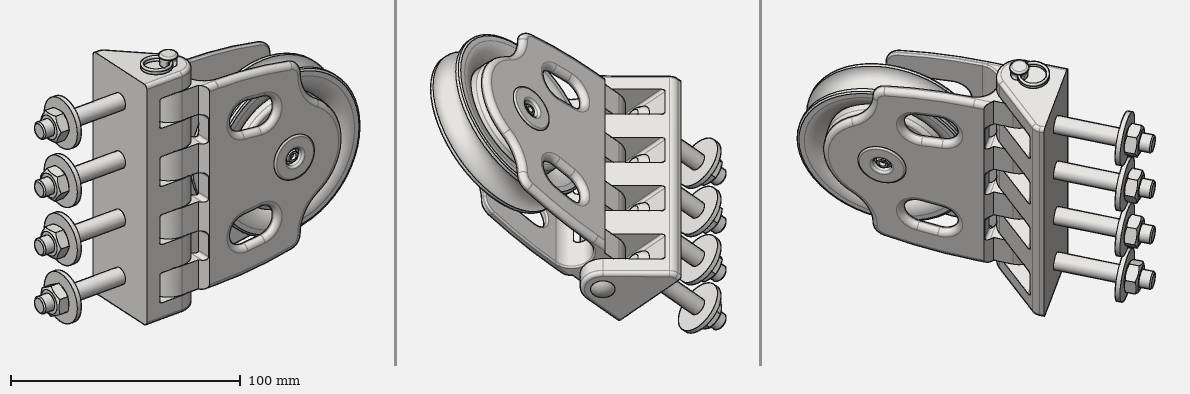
import cadquery as cq
import math


hinge_y = -58.2
hinge_radius = 9.92
pin_diameter = 7.5
hinge_pitch = 29.0
hinge_count = 4
slot_width = 15.0
knuckle_width = 14.5
hinge_heights = [(i - (hinge_count - 1) / 2) * hinge_pitch for i in range(hinge_count)]

tolerance = 0.02

base_left = -29.0
base_right = hinge_radius
base_bottom = -77.4
base_half_height = 60.0
base_toe_radius = 5.0
base_edge_fillet = 2.0
slot_floor = -70.3
slot_corner_radius = 1.3

bolt_x = (base_left + base_right) / 2
bolt_diameter = 8.0
bolt_end = -121.5
bolt_tip_chamfer = 0.6
bolt_head_diameter = 14.0
bolt_head_crown_diameter = 7.0
bolt_head_shoulder_diameter = 11.5
bolt_head_height = 3.4
washer_diameter = 24.0
washer_top = -107.4
washer_thickness = 2.3
nut_across_flats = 13.0
nut_length = 6.3
nut_face_diameter = 11.3
nut_chamfer_length = 1.0
nut_turns = [30, 3, -8, 3]

pin_top = 65.3
pin_collar_diameter = 8.4
pin_collar_thickness = 1.3
pin_collar_fillet = 1.0
pin_head_diameter = 10.6
pin_head_height = 1.8
ring_hole_diameter = 3.0
ring_hole_rise = 1.8
ring_hole_fillet = 0.8
ring_diameter = 14.2
ring_wire = 1.5
ring_turn_spacing = 1.3
ring_tilt = 2.0
ring_rise = 1.6

cheek_width = 27.1
cheek_gap = 19.2
cheek_half_height = hinge_heights[-1] + knuckle_width / 2
cheek_nose_radius = 27.1
cheek_shoulder_y = 4.8
cheek_shoulder_z = 40.0
cheek_shoulder_radius = 6.8
cheek_crown_y = -41.3
cheek_edge_fillet = 2.7
cheek_inner_fillet = 0.8
cheek_bevel = 3.4
cheek_rear = -49.3
finger_gap_floor = -46.3
finger_gap_radius = 2.0
rope_passage_y = -38.9
window_y = -21.5
window_z = 27.7
window_width = 15.2
window_length = 24.5
window_tilt = 6.0

axle_diameter = 14.2
axle_length = 29.0
axle_flange_diameter = 21.8
axle_flange_fillet = 0.8
axle_recess_diameter = 8.4
axle_recess_depth = 3.2
axle_recess_fillet = 1.1
axle_button_diameter = 6.3
axle_button_face_diameter = 5.0
axle_button_height = 2.0
axle_center_diameter = 3.0

sheave_radius = 39.8
sheave_width = 18.0
sheave_edge_bevel_width = 0.5
sheave_edge_bevel_height = 1.0
rope_groove_radius = 7.0
recess_outer_radius = 36.5
recess_inner_radius = 27.4
recess_bend_radius = 9.7
sheave_hub_width = 18.7
sheave_hub_face_radius = 25.4


def cylinder_along_z(x, y, bottom, top, diameter):
    return cq.Workplane("XY", origin=(x, y, bottom)).circle(diameter / 2).extrude(top - bottom)


def base_block():
    """Triangular block, rounded around the hinge pin and filleted at both ends."""
    diagonal = math.sqrt(0.5)
    slope_start = (-hinge_radius * diagonal, hinge_y + hinge_radius * diagonal)
    toe_y = slope_start[1] + base_left - slope_start[0]
    quarter = math.radians(22.5)
    arc_middle = (hinge_radius * math.sin(quarter), hinge_y + hinge_radius * math.cos(quarter))
    block = (
        cq.Workplane("XY", origin=(0, 0, -base_half_height))
        .moveTo(base_left, base_bottom)
        .lineTo(base_right, base_bottom)
        .lineTo(base_right, hinge_y)
        .threePointArc(arc_middle, slope_start)
        .lineTo(base_left, toe_y)
        .close()
        .extrude(2 * base_half_height)
    )
    toe = cq.selectors.NearestToPointSelector((base_left, toe_y, 0))
    block = block.edges(toe).fillet(base_toe_radius)
    end_edges = block.faces("<Z or >Z").edges()
    return end_edges.filter(lambda edge: edge.Center().y > base_bottom + tolerance).fillet(base_edge_fillet)


def knuckle_slot(z):
    """Cutter for one knuckle slot, open towards both sides and the hinge."""
    depth = -slot_floor
    width = base_right - base_left
    return (
        cq.Workplane("XY")
        .box(2 * width, depth, slot_width)
        .edges("|X and <Y")
        .fillet(slot_corner_radius)
        .translate((0, slot_floor + depth / 2, z))
    )


def bolt_with_nut(z, nut_turn):
    """Round-headed bolt in the slot floor with a washer and a chamfered hexagon nut."""
    crown_y = slot_floor + bolt_head_height
    bolt = (
        cq.Workplane("XY")
        .moveTo(0, crown_y)
        .lineTo(bolt_head_crown_diameter / 2, crown_y)
        .threePointArc(
            (bolt_head_shoulder_diameter / 2, slot_floor + bolt_head_height / 2),
            (bolt_head_diameter / 2, slot_floor),
        )
        .lineTo(bolt_diameter / 2, slot_floor)
        .lineTo(bolt_diameter / 2, bolt_end + bolt_tip_chamfer)
        .lineTo(bolt_diameter / 2 - bolt_tip_chamfer, bolt_end)
        .lineTo(0, bolt_end)
        .close()
        .revolve(360, (0, 0), (0, 1))
    )
    washer_bottom = washer_top - washer_thickness
    washer = cq.Workplane("XZ", origin=(0, washer_top, 0)).circle(washer_diameter / 2)
    washer = washer.extrude(washer_thickness)

    nut_corner_diameter = nut_across_flats / math.cos(math.radians(30))
    nut_bottom = washer_bottom - nut_length
    nut = (
        cq.Workplane("XZ", origin=(0, washer_bottom, 0))
        .polygon(6, nut_corner_diameter)
        .extrude(nut_length)
        .rotate((0, 0, 0), (0, 1, 0), -nut_turn)
    )
    nut_envelope = (
        cq.Workplane("XY")
        .moveTo(0, washer_bottom)
        .lineTo(nut_face_diameter / 2, washer_bottom)
        .lineTo(nut_corner_diameter / 2, washer_bottom - nut_chamfer_length)
        .lineTo(nut_corner_diameter / 2, nut_bottom + nut_chamfer_length)
        .lineTo(nut_face_diameter / 2, nut_bottom)
        .lineTo(0, nut_bottom)
        .close()
        .revolve(360, (0, 0), (0, 1))
    )
    nut = nut.intersect(nut_envelope)
    return bolt.union(washer).union(nut).translate((bolt_x, 0, z))


def hinge_pin():
    """Pin with a domed head below, a collar above and a cross hole for the split ring."""
    collar_bottom = pin_top - pin_collar_thickness
    shank = cylinder_along_z(0, hinge_y, -base_half_height, collar_bottom, pin_diameter)
    collar = cylinder_along_z(0, hinge_y, collar_bottom, pin_top, pin_collar_diameter)
    collar = collar.faces(">Z").edges().fillet(pin_collar_fillet)
    rim_radius = pin_head_diameter / 2
    dome_radius = (rim_radius**2 + pin_head_height**2) / (2 * pin_head_height)
    half_angle = math.asin(rim_radius / dome_radius) / 2
    dome_middle = (
        dome_radius * math.sin(half_angle),
        dome_radius * (1 - math.cos(half_angle)) - pin_head_height,
    )
    head = (
        cq.Workplane("XZ")
        .lineTo(0, -pin_head_height)
        .threePointArc(dome_middle, (rim_radius, 0))
        .close()
        .revolve(360, (0, 0), (0, 1))
        .translate((0, hinge_y, -base_half_height))
    )
    ring_hole = (
        cq.Workplane("YZ", origin=(-pin_diameter, hinge_y, base_half_height + ring_hole_rise))
        .circle(ring_hole_diameter / 2)
        .extrude(2 * pin_diameter)
    )
    shank = shank.union(collar).cut(ring_hole)
    mouth_edges = cq.selectors.BoxSelector(
        (-pin_diameter, hinge_y - ring_hole_diameter, base_half_height),
        (pin_diameter, hinge_y + ring_hole_diameter, collar_bottom - tolerance),
        boundingbox=True,
    )
    shank = shank.edges(mouth_edges).fillet(ring_hole_fillet)
    return shank.union(head)


def split_ring():
    """Two stacked turns of wire that pass through the cross hole of the pin."""
    turn_radius = (ring_diameter - ring_wire) / 2
    ring_y = hinge_y - turn_radius
    ring_z = base_half_height + ring_rise
    turns = cq.Workplane("XY")
    for side in (-1, 1):
        turn = cq.Workplane("XZ").center(turn_radius, side * ring_turn_spacing / 2)
        turn = turn.circle(ring_wire / 2).revolve(360, (-turn_radius, 0), (-turn_radius, 1))
        turns = turns.union(turn)
    return turns.rotate((0, 0, 0), (0, 1, 0), -ring_tilt).translate((0, ring_y, ring_z))


def make_base():
    base = base_block()
    for z in hinge_heights:
        base = base.cut(knuckle_slot(z))
    for z, nut_turn in zip(hinge_heights, nut_turns):
        base = base.union(bolt_with_nut(z, nut_turn))
    return base.union(hinge_pin()).union(split_ring())


def arc_point(center, radius, degrees):
    angle = math.radians(degrees)
    return (center[0] + radius * math.cos(angle), center[1] + radius * math.sin(angle))


def direction(start, end):
    return math.degrees(math.atan2(end[1] - start[1], end[0] - start[0]))


def cheek_outline():
    """Outline in the YZ plane: round nose, hollow neck, shoulder and a slightly curved crown edge."""
    nose = (0, 0)
    neck_radius = (cheek_shoulder_y**2 + cheek_shoulder_z**2 - cheek_nose_radius**2) / (
        2 * (cheek_nose_radius - cheek_shoulder_y)
    )
    neck = (cheek_shoulder_y + neck_radius, cheek_shoulder_z)
    shoulder = (cheek_shoulder_y - cheek_shoulder_radius, cheek_shoulder_z)
    run = shoulder[0] - cheek_crown_y
    rise = cheek_half_height - shoulder[1]
    crown_radius = (run**2 + rise**2 - cheek_shoulder_radius**2) / (2 * (rise - cheek_shoulder_radius))
    crown = (cheek_crown_y, cheek_half_height - crown_radius)

    nose_angle = direction(nose, neck)
    crown_angle = direction(crown, shoulder)
    nose_end = arc_point(nose, cheek_nose_radius, nose_angle)
    neck_middle = arc_point(neck, neck_radius, 180 + nose_angle / 2)
    shoulder_start = (cheek_shoulder_y, cheek_shoulder_z)
    shoulder_middle = arc_point(shoulder, cheek_shoulder_radius, crown_angle / 2)
    shoulder_end = arc_point(shoulder, cheek_shoulder_radius, crown_angle)
    crown_middle = arc_point(crown, crown_radius, (crown_angle + 90) / 2)

    def below(point):
        return (point[0], -point[1])

    return (
        cq.Workplane("YZ", origin=(-cheek_width / 2, 0, 0))
        .moveTo(cheek_rear, cheek_half_height)
        .lineTo(cheek_crown_y, cheek_half_height)
        .threePointArc(crown_middle, shoulder_end)
        .threePointArc(shoulder_middle, shoulder_start)
        .threePointArc(neck_middle, nose_end)
        .threePointArc((cheek_nose_radius, 0), below(nose_end))
        .threePointArc(below(neck_middle), below(shoulder_start))
        .threePointArc(below(shoulder_middle), below(shoulder_end))
        .threePointArc(below(crown_middle), (cheek_crown_y, -cheek_half_height))
        .lineTo(cheek_rear, -cheek_half_height)
        .close()
    )


def window(side):
    """Cutter for one slanted window through both cheeks, above or below the axle."""
    return (
        cq.Workplane("YZ", origin=(-cheek_width / 2, 0, 0))
        .center(window_y, side * window_z)
        .slot2D(window_length, window_width, -side * window_tilt)
        .extrude(cheek_width)
    )


def cheek_block():
    """Solid block over both cheeks with windows, rounded edges and a bevelled rear."""
    block = cheek_outline().extrude(cheek_width)
    for side in (-1, 1):
        block = block.cut(window(side))
    side_edges = block.faces("<X or >X").edges()
    block = side_edges.filter(lambda edge: edge.Center().y > cheek_rear + tolerance).fillet(cheek_edge_fillet)
    half_width = cheek_width / 2
    plan = (
        cq.Workplane("XY", origin=(0, 0, -cheek_half_height))
        .moveTo(half_width, cheek_nose_radius)
        .lineTo(half_width, cheek_rear + cheek_bevel)
        .lineTo(half_width - cheek_bevel, cheek_rear)
        .lineTo(cheek_bevel - half_width, cheek_rear)
        .lineTo(-half_width, cheek_rear + cheek_bevel)
        .lineTo(-half_width, cheek_nose_radius)
        .close()
        .extrude(2 * cheek_half_height)
    )
    return block.intersect(plan)


def knuckle(z):
    """Finger with a rounded end around the hinge pin."""
    return (
        cq.Workplane("XY", origin=(0, 0, z - knuckle_width / 2))
        .moveTo(-hinge_radius, finger_gap_floor)
        .lineTo(-hinge_radius, hinge_y)
        .threePointArc((0, hinge_y - hinge_radius), (hinge_radius, hinge_y))
        .lineTo(hinge_radius, finger_gap_floor)
        .close()
        .extrude(knuckle_width)
    )


def finger_gap(z):
    """Cutter for the clearance between two neighbouring knuckles."""
    depth = finger_gap_floor - hinge_y
    return (
        cq.Workplane("XY")
        .box(2 * cheek_width, depth, hinge_pitch - knuckle_width)
        .edges("|X and >Y")
        .fillet(finger_gap_radius)
        .translate((0, finger_gap_floor - depth / 2, z))
    )


def sheave_space():
    """Cutter between the cheeks, ending in the half-round rope passage."""
    length = cheek_nose_radius - rope_passage_y
    channel = cq.Workplane("XY").box(cheek_gap, length, 2 * cheek_half_height)
    channel = channel.translate((0, rope_passage_y + length / 2, 0))
    passage = cylinder_along_z(0, rope_passage_y, -cheek_half_height, cheek_half_height, cheek_gap)
    return channel.union(passage)


def axle():
    """Axle with a riveted flange outside each cheek and a recessed button in each end."""
    end = axle_length / 2
    flange_thickness = (axle_length - cheek_width) / 2
    body = cq.Workplane("YZ", origin=(-end, 0, 0)).circle(axle_diameter / 2).extrude(axle_length)
    for sign in (-1, 1):
        flange = (
            cq.Workplane("YZ", origin=(sign * (end - flange_thickness), 0, 0))
            .circle(axle_flange_diameter / 2)
            .extrude(sign * flange_thickness)
        )
        flange = flange.faces(">X" if sign > 0 else "<X").edges().fillet(axle_flange_fillet)
        body = body.union(flange)
    for sign in (-1, 1):
        floor = sign * (end - axle_recess_depth)
        recess = (
            cq.Workplane("YZ", origin=(floor, 0, 0))
            .circle(axle_recess_diameter / 2)
            .extrude(sign * axle_recess_depth)
        )
        button = (
            cq.Workplane("YZ", origin=(floor, 0, 0))
            .circle(axle_button_diameter / 2)
            .workplane(offset=sign * axle_button_height)
            .circle(axle_button_face_diameter / 2)
            .loft()
        )
        center = (
            cq.Workplane("YZ", origin=(floor, 0, 0))
            .circle(axle_center_diameter / 2)
            .extrude(sign * axle_button_height)
        )
        body = body.cut(recess)
        mouth = cq.selectors.BoxSelector(
            (sign * end - tolerance, -axle_recess_diameter, -axle_recess_diameter),
            (sign * end + tolerance, axle_recess_diameter, axle_recess_diameter),
            boundingbox=True,
        )
        body = body.edges(mouth).fillet(axle_recess_fillet)
        body = body.union(button.cut(center))
    return body


def make_frame():
    frame = cheek_block()
    for z in hinge_heights:
        frame = frame.union(knuckle(z))
    frame = frame.cut(sheave_space())
    inner_edges = cq.selectors.BoxSelector(
        (-cheek_gap / 2 - tolerance, rope_passage_y - cheek_gap / 2 - tolerance, -2 * cheek_half_height),
        (cheek_gap / 2 + tolerance, 2 * cheek_nose_radius, 2 * cheek_half_height),
        boundingbox=True,
    )
    frame = frame.edges(inner_edges).edges("not |Z").fillet(cheek_inner_fillet)
    for lower, upper in zip(hinge_heights, hinge_heights[1:]):
        frame = frame.cut(finger_gap((lower + upper) / 2))
    pin_bore = cylinder_along_z(0, hinge_y, -cheek_half_height, cheek_half_height, pin_diameter)
    axle_bore = cq.Workplane("YZ", origin=(-cheek_width / 2, 0, 0)).circle(axle_diameter / 2)
    axle_bore = axle_bore.extrude(cheek_width)
    return frame.cut(pin_bore).cut(axle_bore).union(axle())


def make_sheave():
    """Grooved wheel: a ring section revolved about the axle, with dished sides and a hub."""
    half_width = sheave_width / 2
    half_hub = sheave_hub_width / 2
    bend_center_x = half_width - recess_bend_radius

    def bend_x(radius):
        return bend_center_x + math.sqrt(recess_bend_radius**2 - (recess_outer_radius - radius) ** 2)

    web_x = bend_x(recess_inner_radius)
    bend_middle_radius = (recess_outer_radius + recess_inner_radius) / 2
    bend_middle_x = bend_x(bend_middle_radius)
    bore_radius = axle_diameter / 2
    hub_fillet = recess_inner_radius - sheave_hub_face_radius
    hub_shoulder_x = half_hub - hub_fillet
    hub_fillet_middle_x = hub_shoulder_x + hub_fillet * math.sqrt(0.5)
    hub_fillet_middle_radius = sheave_hub_face_radius + hub_fillet * math.sqrt(0.5)
    rim_x = half_width - sheave_edge_bevel_width
    return (
        cq.Workplane("XY")
        .moveTo(half_hub, bore_radius)
        .lineTo(half_hub, sheave_hub_face_radius)
        .threePointArc((hub_fillet_middle_x, hub_fillet_middle_radius), (hub_shoulder_x, recess_inner_radius))
        .lineTo(web_x, recess_inner_radius)
        .threePointArc((bend_middle_x, bend_middle_radius), (half_width, recess_outer_radius))
        .lineTo(half_width, sheave_radius - sheave_edge_bevel_height)
        .lineTo(rim_x, sheave_radius)
        .lineTo(rope_groove_radius, sheave_radius)
        .threePointArc((0, sheave_radius - rope_groove_radius), (-rope_groove_radius, sheave_radius))
        .lineTo(-rim_x, sheave_radius)
        .lineTo(-half_width, sheave_radius - sheave_edge_bevel_height)
        .lineTo(-half_width, recess_outer_radius)
        .threePointArc((-bend_middle_x, bend_middle_radius), (-web_x, recess_inner_radius))
        .lineTo(-hub_shoulder_x, recess_inner_radius)
        .threePointArc((-hub_fillet_middle_x, hub_fillet_middle_radius), (-half_hub, sheave_hub_face_radius))
        .lineTo(-half_hub, bore_radius)
        .close()
        .revolve(360, (0, 0), (1, 0))
    )


base = make_base()
frame = make_frame()
sheave = make_sheave()

result = cq.Compound.makeCompound([*base.solids().vals(), *frame.solids().vals(), *sheave.solids().vals()])